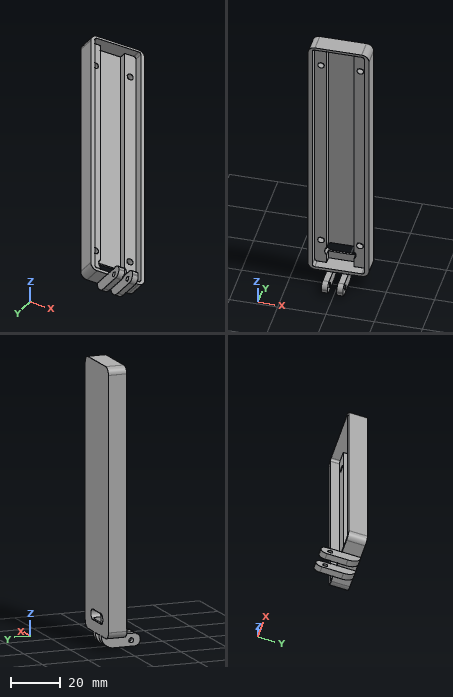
import cadquery as cq

tray_width = 25.4
tray_length = 112.4
tray_depth = 8.0
tray_corner_radius = 3.0

side_wall = 1.95
top_wall = 1.1
bottom_wall = 1.4
cavity_corner_radius = 1.0
ledge_depth = 3.85

channel_width = 11.35
channel_center_x = -0.17
back_thickness = 1.0

screw_hole_depth = 3.0
screw_hole_left_x = -8.15
screw_hole_top_right_x = 8.15
screw_hole_bottom_right_x = 8.0
screw_hole_bottom_z = 12.35
screw_hole_top_z = 100.95
screw_holes = (
    (screw_hole_left_x, screw_hole_bottom_z, 2.73),
    (screw_hole_bottom_right_x, screw_hole_bottom_z, 2.78),
    (screw_hole_left_x, screw_hole_top_z, 2.55),
    (screw_hole_top_right_x, screw_hole_top_z, 2.67),
)

slot_length = 12.9
slot_height = 4.3
slot_center_x = channel_center_x
slot_center_z = 7.0

overall_height = 118.07
overall_depth = 17.0
lug_thickness = 2.67
long_lug_drop = overall_height - tray_length
lug_drop_difference = 0.3
short_lug_drop = long_lug_drop - lug_drop_difference
left_lug_x = -3.58
right_lug_x = 2.8
lugs = (
    (left_lug_x, short_lug_drop),
    (right_lug_x, long_lug_drop),
)
lug_reach = overall_depth - tray_depth
lug_heel_land = 0.1
lug_tip_radius = 2.6
pin_hole_diameter = 2.0
pin_hole_from_tip = 4.0
pin_hole_z = -long_lug_drop / 2

channel_floor_y = tray_depth - back_thickness
cavity_bottom_z = bottom_wall
cavity_top_z = tray_length - top_wall


def box_between(x_min, x_max, y_min, y_max, z_min, z_max):
    """Axis-aligned box given by its limits."""
    return cq.Workplane("XY").box(
        x_max - x_min, y_max - y_min, z_max - z_min, centered=False
    ).translate((x_min, y_min, z_min))


def make_tray_block():
    half_width = tray_width / 2
    block = box_between(-half_width, half_width, 0, tray_depth, 0, tray_length)
    return block.edges("|Y").fillet(tray_corner_radius)


def make_cavity():
    half_width = tray_width / 2 - side_wall
    cavity = box_between(-half_width, half_width, 0, ledge_depth, cavity_bottom_z, cavity_top_z)
    return cavity.edges("|Y").fillet(cavity_corner_radius)


def make_channel():
    x_min = channel_center_x - channel_width / 2
    return box_between(
        x_min, x_min + channel_width, ledge_depth, channel_floor_y, cavity_bottom_z, cavity_top_z
    )


def make_screw_hole(center_x, center_z, diameter):
    return (
        cq.Workplane("XZ", origin=(center_x, ledge_depth, center_z))
        .circle(diameter / 2)
        .extrude(-screw_hole_depth)
    )


def make_slot():
    return (
        cq.Workplane("XZ")
        .center(slot_center_x, slot_center_z)
        .slot2D(slot_length, slot_height)
        .extrude(-tray_depth)
    )


def make_lug(center_x, drop):
    x_min = center_x - lug_thickness / 2
    blade = box_between(x_min, x_min + lug_thickness, -lug_reach, tray_depth, -drop, 0)
    lug = blade.edges("|X and <Y").fillet(lug_tip_radius)
    lug = lug.edges("|X and >Y and <Z").fillet(drop - lug_heel_land)
    pin_hole = (
        cq.Workplane("YZ", origin=(x_min, pin_hole_from_tip - lug_reach, pin_hole_z))
        .circle(pin_hole_diameter / 2)
        .extrude(lug_thickness)
    )
    return lug.cut(pin_hole)


result = make_tray_block().cut(make_cavity()).cut(make_channel()).cut(make_slot())
for hole_x, hole_z, hole_diameter in screw_holes:
    result = result.cut(make_screw_hole(hole_x, hole_z, hole_diameter))
for lug_center_x, lug_drop in lugs:
    result = result.union(make_lug(lug_center_x, lug_drop))